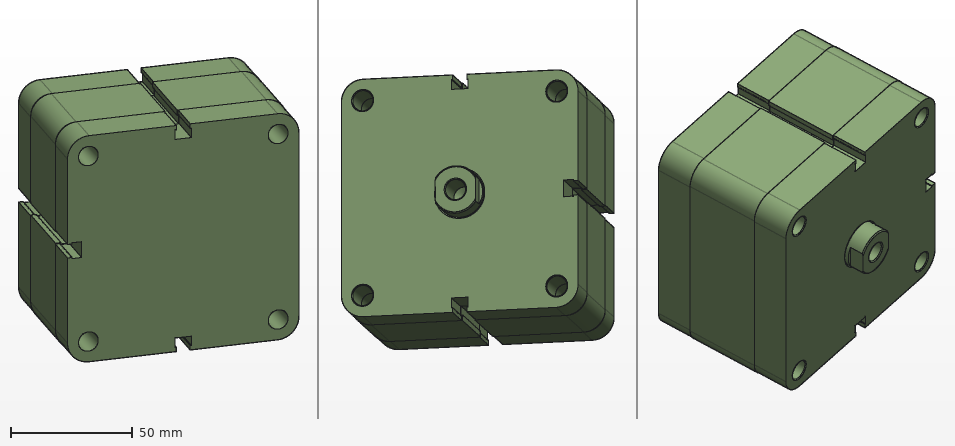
import cadquery as cq

side = 100.0
cap_length = 16.5
barrel_length = 33.5
cap_corner_radius = 9.3
barrel_corner_radius = 8.9
barrel_start = cap_length
rear_cap_start = barrel_start + barrel_length

hole_edge_distance = 9.0
hole_offset = side / 2 - hole_edge_distance
hole_diameter = 8.5
hole_chamfer = 0.4

slot_depth = 6.1
cap_slot_mouth = 6.0
cap_slot_width = 7.0
cap_lip = 2.0
barrel_slot_mouth = 5.2
barrel_slot_width = 6.4
barrel_lip = 2.4
slot_angles = (0, 90, 180)

rod_diameter = 20.0
rod_reach = 8.0
rod_chamfer = 0.5
rod_flat_width = 17.0
rod_flat_length = 6.6
bore_chamfer = 0.6

tap_diameter = 8.5
tap_mouth_diameter = 9.4
tap_depth = 16.0
tap_cone_depth = 2.5


def slot_cutter(start, length, mouth, width, lip):
    """T-slot along X in the top face."""
    floor_z = side / 2 - slot_depth
    neck = cq.Workplane("XY").box(length, mouth, slot_depth, centered=(False, True, False))
    wide = cq.Workplane("XY").box(length, width, slot_depth - lip, centered=(False, True, False))
    return neck.union(wide).translate((start, 0, floor_z))


def hole_centres(start):
    """Workplane at the given X with the four tie-rod hole centres selected."""
    return (
        cq.Workplane("YZ", origin=(start, 0, 0))
        .rect(2 * hole_offset, 2 * hole_offset, forConstruction=True)
        .vertices()
    )


def housing_section(start, length, corner_radius, mouth, width, lip):
    """Rounded square block with four through holes and three T-slots."""
    block = (
        cq.Workplane("YZ", origin=(start, 0, 0))
        .rect(side, side)
        .extrude(length)
        .edges("|X")
        .fillet(corner_radius)
    )
    block = block.cut(hole_centres(start).circle(hole_diameter / 2).extrude(length))
    cutter = slot_cutter(start, length, mouth, width, lip)
    for angle in slot_angles:
        block = block.cut(cutter.rotate((0, 0, 0), (1, 0, 0), angle))
    return block


def end_cap(start):
    return housing_section(
        start, cap_length, cap_corner_radius, cap_slot_mouth, cap_slot_width, cap_lip
    )


def make_front_cap():
    """End cap with chamfered tie-rod holes and a chamfered rod bore."""
    hole_mouths = (
        hole_centres(0).circle(hole_diameter / 2 + hole_chamfer).extrude(hole_chamfer, taper=45)
    )
    bore = cq.Workplane("YZ").circle(rod_diameter / 2).extrude(cap_length)
    bore_mouth = (
        cq.Workplane("YZ").circle(rod_diameter / 2 + bore_chamfer).extrude(bore_chamfer, taper=45)
    )
    return end_cap(0).cut(hole_mouths).cut(bore).cut(bore_mouth)


def make_barrel():
    return housing_section(
        barrel_start,
        barrel_length,
        barrel_corner_radius,
        barrel_slot_mouth,
        barrel_slot_width,
        barrel_lip,
    )


def make_tap_cutter():
    """Countersunk blind hole with a conical bottom, turned about X."""
    tip = -rod_reach
    tap_radius = tap_diameter / 2
    mouth_radius = tap_mouth_diameter / 2
    profile = (
        cq.Workplane("XY")
        .moveTo(tip, 0)
        .lineTo(tip, mouth_radius)
        .lineTo(tip + mouth_radius - tap_radius, tap_radius)
        .lineTo(tip + tap_depth, tap_radius)
        .lineTo(tip + tap_depth + tap_cone_depth, 0)
        .close()
    )
    return profile.revolve(360, (0, 0, 0), (1, 0, 0))


def make_rod():
    rod = (
        cq.Workplane("YZ", origin=(-rod_reach, 0, 0))
        .circle(rod_diameter / 2)
        .extrude(rod_reach + cap_length)
        .faces("<X")
        .chamfer(rod_chamfer)
    )
    tool_width = rod_diameter - rod_flat_width
    for direction in (-1, 1):
        tool = cq.Workplane("XY").box(
            rod_flat_length, tool_width, rod_diameter, centered=(False, True, True)
        )
        y = direction * (rod_flat_width + tool_width) / 2
        rod = rod.cut(tool.translate((-rod_reach, y, 0)))
    return rod.cut(make_tap_cutter())


front_cap = make_front_cap()
barrel = make_barrel()
rear_cap = end_cap(rear_cap_start)
rod = make_rod()

result = cq.Compound.makeCompound([front_cap.val(), barrel.val(), rear_cap.val(), rod.val()])